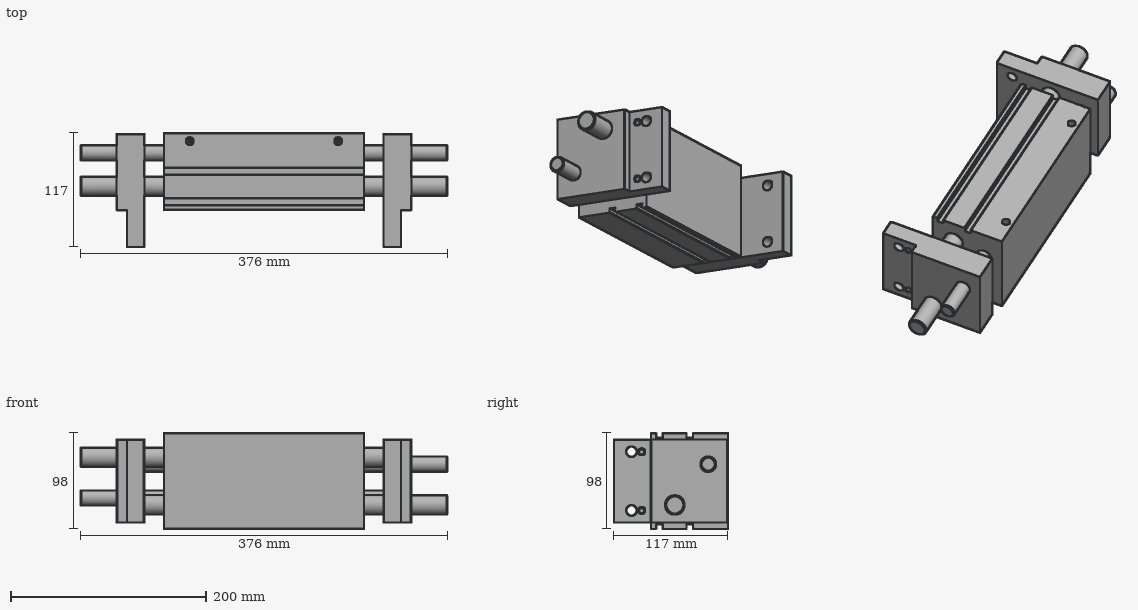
import cadquery as cq
import math


HOUSING_LENGTH = 205.0
HOUSING_DEPTH = 79.0
HOUSING_HEIGHT = 98.0
FRONT_EDGE_CHAMFER = 0.55
SLOT_WIDTH = 6.5
SLOT_DEPTH = 4.5
SLOT_MOUTH_CHAMFER = 0.55
SLOT_DISTANCES = (39.0, 70.5)
PORT_DISTANCE = 8.3
PORT_SPACING = 152.0
PORT_DIAMETER = 8.0
PORT_DEPTH = 9.5
PORT_BORE_DIAMETER = 3.0
PORT_BORE_DEPTH = 18.8

JAW_GAP = 20.0
JAW_THICKNESS = 28.5
JAW_HEIGHT = 85.0
JAW_BACK_DISTANCE = 1.0
STEP_DISTANCE = 79.5
JAW_EDGE_CHAMFER = 0.8
FINGER_THICKNESS = 18.0
FINGER_TIP_DISTANCE = 117.0
HOLE_ROW_SPACING = 60.0
MOUNT_HOLE_DISTANCE = 99.0
MOUNT_HOLE_DIAMETER = 10.5
PIN_HOLE_DISTANCE = 88.5
PIN_HOLE_DIAMETER = 5.5
PIN_COUNTERSINK_DIAMETER = 7.0
PIN_HOLE_DEPTH = 9.5

OVERALL_LENGTH = 376.0
GUIDE_DIAMETER = 20.0
GUIDE_DISTANCE = 54.5
GUIDE_OFFSET = 24.5
PISTON_DIAMETER = 15.8
PISTON_DISTANCE = 20.3
PISTON_OFFSET = 17.3
ROD_END_CHAMFER = 1.0

DRILL_POINT_ANGLE = 118

JAW_INNER_X = HOUSING_LENGTH / 2 + JAW_GAP
JAW_OUTER_X = JAW_INNER_X + JAW_THICKNESS
FINGER_OUTER_X = JAW_INNER_X + FINGER_THICKNESS


def half_turn(body):
    """Turn a body half a turn about the Y axis, which swaps the left and right jaws."""
    return body.rotate((0, 0, 0), (0, 1, 0), 180)


def drilled_shape(profile):
    """Round cutter pointing down from the origin, from (diameter, depth) pairs ending on the axis."""
    points = [(diameter / 2, -depth) for diameter, depth in profile]
    outline = cq.Workplane("XZ").polyline([(0, 0), *points])
    return outline.close().revolve(360, (0, 0, 0), (0, 1, 0))


def cone_depth(start_diameter, end_diameter=0):
    """Depth over which a drill point narrows from one diameter to the other."""
    return (start_diameter - end_diameter) / 2 / math.tan(math.radians(DRILL_POINT_ANGLE / 2))


def rod(diameter, distance, height, chamfer=0.0):
    """Rod of the left jaw, from the inner face of its plate to the right end."""
    start = cq.Workplane("YZ", origin=(-JAW_INNER_X, -distance, height))
    body = start.circle(diameter / 2).extrude(JAW_INNER_X + OVERALL_LENGTH / 2)
    if chamfer:
        body = body.faces(">X").chamfer(chamfer)
    return body


def rod_pair(chamfer=0.0):
    """Guide and piston rod of the left jaw."""
    guide = rod(GUIDE_DIAMETER, GUIDE_DISTANCE, -GUIDE_OFFSET, chamfer)
    piston = rod(PISTON_DIAMETER, PISTON_DISTANCE, PISTON_OFFSET, chamfer)
    return guide.union(piston)


def make_housing():
    """Slotted block with two ports on top and bores for all four rods."""
    block = cq.Workplane("XY").box(HOUSING_LENGTH, HOUSING_DEPTH, HOUSING_HEIGHT)
    block = block.translate((0, -HOUSING_DEPTH / 2, 0))
    block = block.faces("<Y").edges("|X").chamfer(FRONT_EDGE_CHAMFER)

    half_width = SLOT_WIDTH / 2
    mouth_half_width = half_width + SLOT_MOUTH_CHAMFER
    slot_profile = cq.Workplane("YZ", origin=(-HOUSING_LENGTH / 2, 0, 0)).polyline([
        (-mouth_half_width, 0),
        (-half_width, -SLOT_MOUTH_CHAMFER),
        (-half_width, -SLOT_DEPTH),
        (half_width, -SLOT_DEPTH),
        (half_width, -SLOT_MOUTH_CHAMFER),
        (mouth_half_width, 0),
    ])
    slot = slot_profile.close().extrude(HOUSING_LENGTH)
    for distance in SLOT_DISTANCES:
        top_slot = slot.translate((0, -distance, HOUSING_HEIGHT / 2))
        block = block.cut(top_slot).cut(half_turn(top_slot))

    port = drilled_shape([
        (PORT_DIAMETER, 0),
        (PORT_DIAMETER, PORT_DEPTH),
        (PORT_BORE_DIAMETER, PORT_DEPTH + cone_depth(PORT_DIAMETER, PORT_BORE_DIAMETER)),
        (PORT_BORE_DIAMETER, PORT_BORE_DEPTH),
        (0, PORT_BORE_DEPTH),
    ])
    for side in (1, -1):
        place = (side * PORT_SPACING / 2, -PORT_DISTANCE, HOUSING_HEIGHT / 2)
        block = block.cut(port.translate(place))

    return block.cut(rod_pair()).cut(half_turn(rod_pair()))


def make_jaw():
    """Left jaw: a stepped plate with its two rods, and bores for the rods of the other jaw."""
    outline = cq.Workplane("XY", origin=(0, 0, -JAW_HEIGHT / 2)).polyline([
        (-JAW_INNER_X, -JAW_BACK_DISTANCE),
        (-JAW_OUTER_X, -JAW_BACK_DISTANCE),
        (-JAW_OUTER_X, -STEP_DISTANCE),
        (-FINGER_OUTER_X, -STEP_DISTANCE),
        (-FINGER_OUTER_X, -FINGER_TIP_DISTANCE),
        (-JAW_INNER_X, -FINGER_TIP_DISTANCE),
    ])
    plate = outline.close().extrude(JAW_HEIGHT)
    plate = plate.edges("|Z").edges("<X").edges("<Y").chamfer(JAW_EDGE_CHAMFER)
    plate = plate.edges("|Z").edges(">X").edges("<Y").chamfer(JAW_EDGE_CHAMFER)

    pin_drill = drilled_shape([
        (PIN_COUNTERSINK_DIAMETER, 0),
        (PIN_HOLE_DIAMETER, (PIN_COUNTERSINK_DIAMETER - PIN_HOLE_DIAMETER) / 2),
        (PIN_HOLE_DIAMETER, PIN_HOLE_DEPTH),
        (0, PIN_HOLE_DEPTH + cone_depth(PIN_HOLE_DIAMETER)),
    ])
    pin_drill = pin_drill.rotate((0, 0, 0), (0, 1, 0), -90)
    for side in (1, -1):
        height = side * HOLE_ROW_SPACING / 2
        start = cq.Workplane("YZ", origin=(-FINGER_OUTER_X, -MOUNT_HOLE_DISTANCE, height))
        plate = plate.cut(start.circle(MOUNT_HOLE_DIAMETER / 2).extrude(FINGER_THICKNESS))
        plate = plate.cut(pin_drill.translate((-FINGER_OUTER_X, -PIN_HOLE_DISTANCE, height)))

    plate = plate.cut(half_turn(rod_pair()))
    return plate.union(rod_pair(ROD_END_CHAMFER))


housing = make_housing()
left_jaw = make_jaw()
right_jaw = half_turn(left_jaw)

result = cq.Compound.makeCompound([housing.val(), left_jaw.val(), right_jaw.val()])